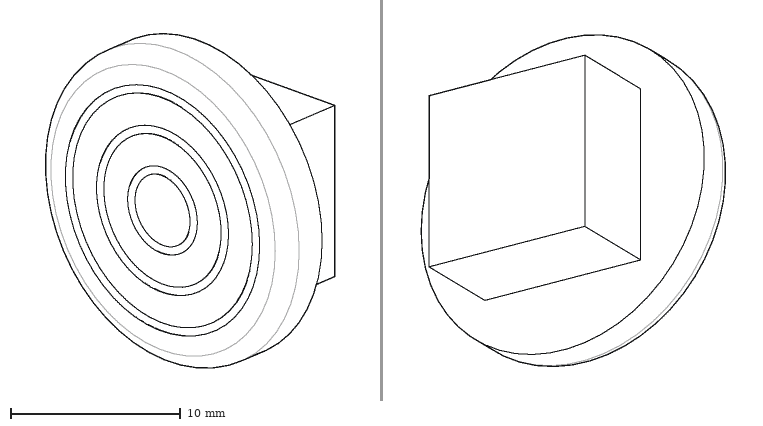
import cadquery as cq

disc_radius = 10.0
disc_thickness = 3.0
rim_fillet = 1.0

block_side = 11.0
block_depth = 6.0

bead_radius = 0.25
first_bead_ring_radius = 2.5
bead_ring_pitch = 2.5
bead_ring_count = 3

face_y = -disc_thickness


def make_disc():
    """Disc with a rounded front rim."""
    disc = cq.Workplane("XZ").circle(disc_radius).extrude(disc_thickness)
    return disc.faces("<Y").edges().fillet(rim_fillet)


def make_block():
    """Square block standing on the back of the disc."""
    return cq.Workplane("XZ").rect(block_side, block_side).extrude(-block_depth)


def make_bead(ring_radius):
    """Ring of round section centred on the face, so half of it stands proud."""
    section = cq.Workplane("XY").center(ring_radius, face_y).circle(bead_radius)
    return section.revolve(360, (-ring_radius, 0, 0), (-ring_radius, 1, 0))


result = make_disc().union(make_block())
for index in range(bead_ring_count):
    result = result.union(make_bead(first_bead_ring_radius + index * bead_ring_pitch))